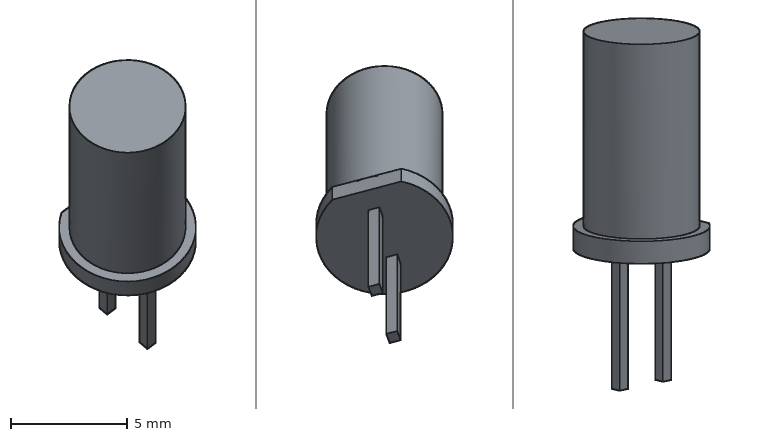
import cadquery as cq

total_height = 15.6
lead_length = 6.0
housing_height = total_height - lead_length

barrel_diameter = 5.0
flange_diameter = 5.9
flange_thickness = 1.0
flat_offset = barrel_diameter / 2

lead_width = 0.5
lead_spacing = 2.55


def make_flange():
    """Disc on the XY plane, cut off by a flat on its -X side."""
    disc = cq.Workplane("XY").circle(flange_diameter / 2).extrude(flange_thickness)
    beyond_flat = (
        cq.Workplane("XY")
        .box(flange_diameter, flange_diameter, flange_thickness, centered=(True, True, False))
        .translate((-flat_offset - flange_diameter / 2, 0, 0))
    )
    return disc.cut(beyond_flat)


def make_housing():
    """Barrel and flange as one solid, standing on the XY plane."""
    barrel_height = housing_height - flange_thickness
    barrel = (
        cq.Workplane("XY")
        .workplane(offset=flange_thickness)
        .circle(barrel_diameter / 2)
        .extrude(barrel_height)
    )
    return make_flange().union(barrel)


def make_lead(x_position):
    """Square lead hanging from the underside of the housing."""
    return (
        cq.Workplane("XY")
        .center(x_position, 0)
        .rect(lead_width, lead_width)
        .extrude(-lead_length)
    )


housing = make_housing()
leads = [make_lead(side * lead_spacing / 2) for side in (-1, 1)]

result = cq.Compound.makeCompound([housing.val(), *[lead.val() for lead in leads]])